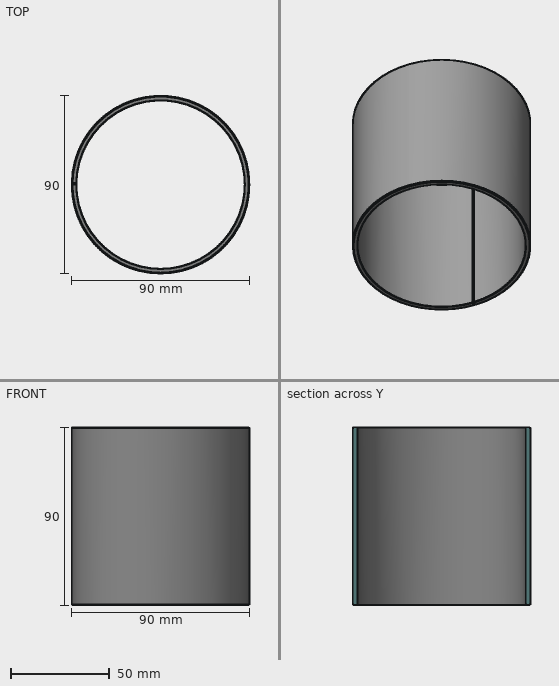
import cadquery as cq

outer_diameter = 90.0
length = 90.0
wall = 2.5
outer_chamfer = 0.5
inner_chamfer = 0.3
slit_width = 0.8

outer_radius = outer_diameter / 2
inner_radius = outer_radius - wall
half_length = length / 2

upper_profile = [
    (inner_radius, half_length - inner_chamfer),
    (inner_radius + inner_chamfer, half_length),
    (outer_radius - outer_chamfer, half_length),
    (outer_radius, half_length - outer_chamfer),
]
lower_profile = [(radius, -height) for radius, height in reversed(upper_profile)]
wall_section = cq.Workplane("XZ").polyline(upper_profile + lower_profile).close()
sleeve = wall_section.revolve(360, (0, 0), (0, 1))

slit_depth = 2 * wall
slit = cq.Workplane("XY").box(slit_depth, slit_width, length)
slit = slit.translate((wall / 2 - outer_radius, slit_width / 2, 0))

result = sleeve.cut(slit)